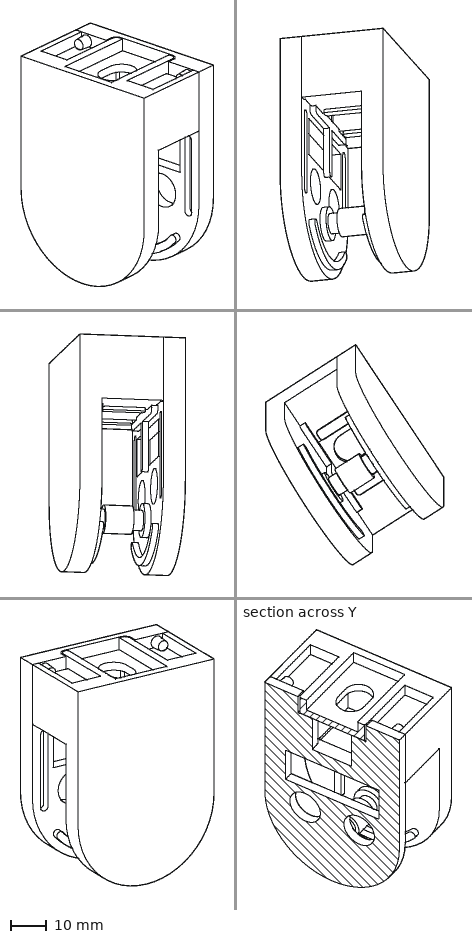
import cadquery as cq
import math

width = 45.0
depth = 30.0
height = 63.0
outer_radius = width / 2
cheek_thickness = 6.3
block_height = 18.0
gap_top = height - block_height
front_face = -depth / 2
back_face = depth / 2
front_inner_face = front_face + cheek_thickness
back_inner_face = back_face - cheek_thickness

tongue_width = 22.0
tongue_back = 12.35
tongue_corner_radius = 1.6
tongue_clearance = 0.42
notch_width = tongue_width + 2 * tongue_clearance
notch_back = tongue_back + tongue_clearance
notch_corner_radius = tongue_corner_radius + tongue_clearance
lower_notch_width = 13.2

pocket_depth = 3.6
floor_thickness = 2.4
side_wall = 2.05
side_pocket_width = (width - tongue_width) / 2 - side_wall
floor_clearance = 0.42
centre_pocket_width = 17.0
centre_pocket_front = -12.5
slot_width = 8.4
slot_length = 12.15
cavity_width = 15.8
pocket_floor = height - pocket_depth
tongue_bottom = pocket_floor - floor_thickness

rib_height = 1.75
rib_radius = 1.15
arc_rib_radius = 18.85
arc_rib_end_x = 14.4
boss_radius = 4.75
pin_z = 15.0
stem_rib_bottom = 28.9
bar_rib_radius = 1.4
bar_rib_length = 29.2
bar_rib_z = 44.3
bar_rib_top = bar_rib_z + bar_rib_radius

recess_depth = 3.7
groove_x = 18.55
groove_width = 2.45
groove_depth = 2.3
groove_bottom = 18.0
groove_top = 42.5
window_width = 31.0
window_bottom = 30.4
window_top = 41.0
round_recess_x = 9.0
round_recess_z = 23.1
round_recess_radius = 5.0

peg_x = groove_x
peg_z = height - 2.25
peg_length = 3.4
peg_base_radius = 1.8
peg_tip_radius = 1.55

pin_radius = 2.87
pin_collar_radius = 4.0
pin_collar_length = 8.0

pad_length = 12.0
pad_height = 0.95
pad_corner_radius = 0.95
pad_width = 3.0
pad_x = cavity_width / 2 + pad_width / 2


def box(x_min, x_max, y_min, y_max, z_min, z_max):
    size = (x_max - x_min, y_max - y_min, z_max - z_min)
    return cq.Workplane("XY").box(*size, centered=False).translate((x_min, y_min, z_min))


def facing_back(y):
    """Work plane at y in which local X is -X, local Y is Z and extrusion runs toward +Y."""
    return cq.Workplane("XZ", origin=(0, y, 0)).transformed(rotate=(0, 180, 0))


def cheek(y_start):
    return (
        facing_back(y_start)
        .moveTo(-outer_radius, height)
        .lineTo(-outer_radius, outer_radius)
        .threePointArc((0, 0), (outer_radius, outer_radius))
        .lineTo(outer_radius, height)
        .close()
        .extrude(cheek_thickness)
    )


def upright_slot(y_start, x, z_min, z_max, radius, length):
    return (
        facing_back(y_start)
        .center(-x, (z_min + z_max) / 2)
        .slot2D(z_max - z_min, 2 * radius, 90)
        .extrude(length)
    )


def disc(y_start, x, z, radius, length):
    return facing_back(y_start).center(-x, z).circle(radius).extrude(length)


def arc_rib(y_start):
    inner = arc_rib_radius - rib_radius
    outer = arc_rib_radius + rib_radius
    lean = math.asin(arc_rib_end_x / arc_rib_radius)
    dx, dz = math.sin(lean), math.cos(lean)
    tip_x = arc_rib_end_x + rib_radius * dz
    tip_z = outer_radius - arc_rib_radius * dz + rib_radius * dx
    return (
        facing_back(y_start)
        .moveTo(-outer * dx, outer_radius - outer * dz)
        .threePointArc((0, outer_radius - outer), (outer * dx, outer_radius - outer * dz))
        .threePointArc((tip_x, tip_z), (inner * dx, outer_radius - inner * dz))
        .threePointArc((0, outer_radius - inner), (-inner * dx, outer_radius - inner * dz))
        .threePointArc((-tip_x, tip_z), (-outer * dx, outer_radius - outer * dz))
        .close()
        .extrude(rib_height)
    )


def bar_rib(y_start):
    return (
        facing_back(y_start)
        .center(0, bar_rib_z)
        .slot2D(bar_rib_length, 2 * bar_rib_radius)
        .extrude(rib_height)
    )


def ribs(y_start):
    stem = upright_slot(y_start, 0, stem_rib_bottom, bar_rib_z, rib_radius, rib_height)
    boss = disc(y_start, 0, pin_z, boss_radius, rib_height)
    return bar_rib(y_start).union(stem).union(boss).union(arc_rib(y_start))


def make_peg(side):
    return (
        cq.Workplane("XZ", origin=(side * peg_x, back_inner_face, peg_z))
        .circle(peg_base_radius)
        .workplane(offset=peg_length)
        .circle(peg_tip_radius)
        .loft()
    )


def make_housing():
    block = box(-width / 2, width / 2, front_face, back_inner_face, gap_top, height)
    tongue = box(-tongue_width / 2, tongue_width / 2, 0, tongue_back, tongue_bottom, height)
    tongue = tongue.edges("|Z and >Y").fillet(tongue_corner_radius)
    body = cheek(front_face).union(block).union(tongue)
    for side in (-1, 1):
        x = side * (tongue_width + side_pocket_width) / 2
        x_min, x_max = x - side_pocket_width / 2, x + side_pocket_width / 2
        body = body.cut(box(x_min, x_max, front_inner_face, back_inner_face, pocket_floor, height))
        floor_back = back_inner_face - floor_clearance
        body = body.cut(box(x_min, x_max, floor_back, back_inner_face, gap_top, height))
        body = body.cut(make_peg(side))
    half = centre_pocket_width / 2
    body = body.cut(box(-half, half, centre_pocket_front, back_face, pocket_floor, height))
    half = cavity_width / 2
    body = body.cut(box(-half, half, front_inner_face, back_inner_face, gap_top, tongue_bottom))
    slot_sketch = cq.Workplane("XY", origin=(0, 0, gap_top)).slot2D(slot_length, slot_width, 90)
    body = body.cut(slot_sketch.extrude(block_height))
    half = bar_rib_length / 2
    body = body.cut(box(-half, half, back_inner_face - rib_height, back_inner_face, gap_top, bar_rib_top))
    bar_root = box(-half, half, front_inner_face, front_inner_face + rib_height, bar_rib_z, gap_top)
    return body.union(ribs(front_inner_face)).union(bar_root)


def notch(opening_width, bottom):
    half = opening_width / 2
    return box(-half, half, 0, notch_back, bottom, height).edges("|Z and >Y").fillet(notch_corner_radius)


def make_cover():
    body = cheek(back_inner_face)
    body = body.cut(notch(notch_width, tongue_bottom)).cut(notch(lower_notch_width, bar_rib_top))
    half = window_width / 2
    body = body.cut(box(-half, half, 0, back_inner_face + recess_depth, window_bottom, window_top))
    for side in (-1, 1):
        x = side * groove_x
        groove = upright_slot(back_inner_face, x, groove_bottom, groove_top, groove_width / 2, groove_depth)
        x = side * round_recess_x
        recess = disc(back_inner_face, x, round_recess_z, round_recess_radius, recess_depth)
        body = body.cut(groove).cut(recess)
        body = body.union(make_peg(side))
    return body.union(ribs(back_inner_face - rib_height))


def make_pin():
    reach = back_inner_face - rib_height
    shaft = disc(-reach, 0, pin_z, pin_radius, 2 * reach)
    return shaft.union(disc(-pin_collar_length / 2, 0, pin_z, pin_collar_radius, pin_collar_length))


def make_pad(side):
    return (
        cq.Workplane("XY", origin=(side * pad_x, 0, gap_top - pad_height))
        .rect(pad_width, pad_length)
        .extrude(pad_height)
        .edges("|Z")
        .fillet(pad_corner_radius)
    )


housing = make_housing()
cover = make_cover()
pin = make_pin()
pads = [make_pad(side) for side in (-1, 1)]
result = cq.Compound.makeCompound([*housing.vals(), *cover.vals(), *pin.vals(), *[pad.val() for pad in pads]])